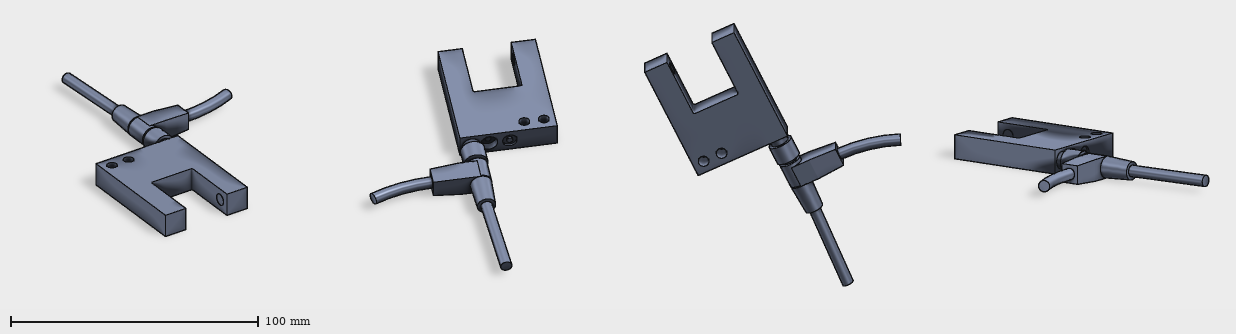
import cadquery as cq


HOUSING_LENGTH = 50.0
HOUSING_WIDTH = 40.0
HOUSING_HEIGHT = 10.0
AXIS_TO_BACK = 4.7
ARM_WIDTH = 10.0
SLOT_LENGTH = 25.0
SLOT_WIDTH = HOUSING_WIDTH - 2 * ARM_WIDTH
SLOT_CORNER_RADIUS = 0.7
FRONT_Y = AXIS_TO_BACK - HOUSING_WIDTH

MOUNT_DIAMETER = 4.3
MOUNT_EDGE_DISTANCE = 4.7
MOUNT_SPACING = 8.0

INDICATOR_Y = -7.3
INDICATOR_DIAMETER = 7.0
INDICATOR_DEPTH = 3.2
ADJUSTER_Y = -15.9
ADJUSTER_DIAMETER = 6.0
ADJUSTER_DEPTH = 1.0
BOSS_DIAMETER = 2.5
BOSS_HEIGHT = 0.8

WINDOW_DIAMETER = 4.9
WINDOW_DEPTH = 0.1
WINDOW_END_DISTANCE = 5.0

STUB_DIAMETER = 7.2
STUB_LENGTH = 2.9
NUT_DIAMETER = 10.0
NUT_LENGTH = 7.7
NUT_LEFT_X = -STUB_LENGTH - NUT_LENGTH

NECK_DIAMETER = 6.1
NECK_LENGTH = 1.3
GRIP_DIAMETER = 9.0
GRIP_LENGTH = 10.0
CONE_LENGTH = 13.0
CONE_END_DIAMETER = 7.6
CABLE_DIAMETER = 4.7
STRAIGHT_CABLE_LENGTH = 35.3
STRAIGHT_CABLE_DRIFT = -1.8
GRIP_RIGHT_X = NUT_LEFT_X - NECK_LENGTH
GRIP_LEFT_X = GRIP_RIGHT_X - GRIP_LENGTH
CONE_LEFT_X = GRIP_LEFT_X - CONE_LENGTH
STRAIGHT_CABLE_END_X = CONE_LEFT_X - STRAIGHT_CABLE_LENGTH

ANGLED_X = -17.9
ANGLED_WIDTH = 9.0
ANGLED_BLOCK_LENGTH = 7.9
ANGLED_TAPER_LENGTH = 11.5
ANGLED_END_WIDTH = 7.7
ANGLED_CABLE_SHIFT = -5.0
ANGLED_CABLE_RISE = 24.9
CABLE_ROOT_LENGTH = 1.2
ANGLED_TAPER_END_Y = ANGLED_BLOCK_LENGTH + ANGLED_TAPER_LENGTH


def rod(diameter, start_x, length, y=0):
    """Round rod along +X."""
    return cq.Workplane("YZ", origin=(start_x, y, 0)).circle(diameter / 2).extrude(length)


def recess_with_boss(body, y, diameter, depth):
    """Cut a round recess into the connector face and leave a boss on its floor."""
    boss = rod(BOSS_DIAMETER, depth - BOSS_HEIGHT, BOSS_HEIGHT, y)
    return body.cut(rod(diameter, 0, depth, y).cut(boss))


def make_window_cutter():
    """Cylinder across the slot that reaches the window depth into both arms."""
    start = (HOUSING_LENGTH - WINDOW_END_DISTANCE, FRONT_Y + ARM_WIDTH - WINDOW_DEPTH, 0)
    cutter = cq.Workplane("XZ", origin=start).circle(WINDOW_DIAMETER / 2)
    return cutter.extrude(-(SLOT_WIDTH + 2 * WINDOW_DEPTH))


def make_housing():
    from_corner = (False, False, True)
    body = cq.Workplane("XY").box(HOUSING_LENGTH, HOUSING_WIDTH, HOUSING_HEIGHT, centered=from_corner)
    body = body.translate((0, FRONT_Y, 0))

    slot = cq.Workplane("XY").box(SLOT_LENGTH, SLOT_WIDTH, HOUSING_HEIGHT, centered=from_corner)
    slot = slot.edges("|Z and <X").fillet(SLOT_CORNER_RADIUS)
    body = body.cut(slot.translate((HOUSING_LENGTH - SLOT_LENGTH, FRONT_Y + ARM_WIDTH, 0)))

    for index in range(2):
        hole = cq.Workplane("XY").circle(MOUNT_DIAMETER / 2).extrude(HOUSING_HEIGHT / 2, both=True)
        hole_y = FRONT_Y + MOUNT_EDGE_DISTANCE + index * MOUNT_SPACING
        body = body.cut(hole.translate((MOUNT_EDGE_DISTANCE, hole_y, 0)))

    body = body.cut(make_window_cutter())
    body = recess_with_boss(body, INDICATOR_Y, INDICATOR_DIAMETER, INDICATOR_DEPTH)
    body = recess_with_boss(body, ADJUSTER_Y, ADJUSTER_DIAMETER, ADJUSTER_DEPTH)
    return body.union(rod(STUB_DIAMETER, -STUB_LENGTH, STUB_LENGTH))


def make_nut():
    return rod(NUT_DIAMETER, NUT_LEFT_X, NUT_LENGTH)


def make_straight_plug():
    """Neck, cylindrical grip and tapered end, with a slightly slanting cable."""
    half_profile = [
        (CONE_LEFT_X, 0),
        (CONE_LEFT_X, CONE_END_DIAMETER / 2),
        (GRIP_LEFT_X, GRIP_DIAMETER / 2),
        (GRIP_RIGHT_X, GRIP_DIAMETER / 2),
        (GRIP_RIGHT_X, NECK_DIAMETER / 2),
        (NUT_LEFT_X, NECK_DIAMETER / 2),
        (NUT_LEFT_X, 0),
    ]
    plug = cq.Workplane("XY").polyline(half_profile).close().revolve(360, (0, 0, 0), (1, 0, 0))
    cable = (
        cq.Workplane("YZ", origin=(STRAIGHT_CABLE_END_X, STRAIGHT_CABLE_DRIFT, 0))
        .circle(CABLE_DIAMETER / 2)
        .workplane(offset=STRAIGHT_CABLE_LENGTH)
        .center(-STRAIGHT_CABLE_DRIFT, 0)
        .circle(CABLE_DIAMETER / 2)
        .loft(ruled=True)
    )
    return plug.union(cable)


def make_angled_plug(straight_plug):
    """Round-ended block on the grip of the straight plug, tapered outlet and bent cable."""
    block = cq.Workplane("XZ", origin=(ANGLED_X, 0, 0)).rect(ANGLED_WIDTH, GRIP_DIAMETER)
    block = block.extrude(-ANGLED_BLOCK_LENGTH)
    round_end = rod(GRIP_DIAMETER, ANGLED_X - ANGLED_WIDTH / 2, ANGLED_WIDTH)
    outlet = (
        cq.Workplane("XZ", origin=(ANGLED_X, ANGLED_BLOCK_LENGTH, 0))
        .rect(ANGLED_WIDTH, GRIP_DIAMETER)
        .workplane(offset=-ANGLED_TAPER_LENGTH)
        .rect(ANGLED_END_WIDTH, ANGLED_END_WIDTH)
        .loft(ruled=True)
    )
    root_y = ANGLED_TAPER_END_Y - CABLE_ROOT_LENGTH
    cable_end = (ANGLED_X + ANGLED_CABLE_SHIFT, ANGLED_TAPER_END_Y + ANGLED_CABLE_RISE)
    cable_path = (
        cq.Workplane("XY")
        .moveTo(ANGLED_X, root_y)
        .lineTo(ANGLED_X, ANGLED_TAPER_END_Y)
        .tangentArcPoint(cable_end, relative=False)
    )
    cable = (
        cq.Workplane("XZ", origin=(ANGLED_X, root_y, 0))
        .circle(CABLE_DIAMETER / 2)
        .sweep(cable_path)
    )
    return block.union(round_end).cut(straight_plug).union(outlet).union(cable)


housing = make_housing()
nut = make_nut()
straight_plug = make_straight_plug()
angled_plug = make_angled_plug(straight_plug)

result = cq.Compound.makeCompound([
    *housing.solids().vals(),
    *nut.solids().vals(),
    *straight_plug.solids().vals(),
    *angled_plug.solids().vals(),
])